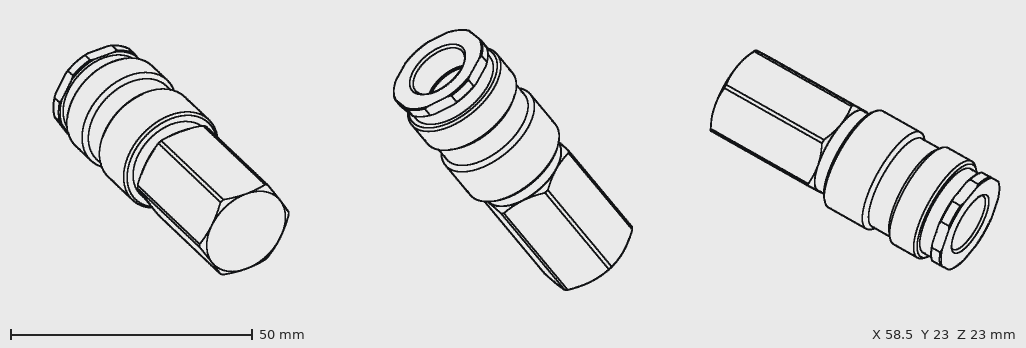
import cadquery as cq
import math

total_length = 58.5

collar_length = 2.5
collar_flats = 21.0
collar_diameter = 22.0
collar_edge = 0.25

front_neck_diameter = 20.0
sleeve_diameter = 23.0
sleeve_start = 5.85
sleeve_end = 29.3
sleeve_chamfer = 0.5
groove_diameter = 21.0
groove_start = 12.4
groove_end = 19.25
groove_slope = 0.9

rear_neck_diameter = 19.0
wrench_start = 32.5
wrench_flats = 19.2
wrench_diameter = 21.7
wrench_cone_angle = 30.0

mouth_diameter = 13.75
socket_diameter = 12.7
mouth_chamfer = (mouth_diameter - socket_diameter) / 2
step_diameter = 12.0
step_depth = 6.1
step_chamfer = 0.25
socket_depth = 17.55


def revolve_profile(profile):
    """Revolve (x, radius) points, listed from end to end, about the X axis."""
    start_x = profile[0][0]
    end_x = profile[-1][0]
    outline = [(start_x, 0)] + profile + [(end_x, 0)]
    return cq.Workplane("XY").polyline(outline).close().revolve(360, (0, 0, 0), (1, 0, 0))


def hex_bar(start, end, flats):
    """Hexagonal bar along X with flats facing up and down (corners on +Y and -Y)."""
    corner_diameter = flats / math.cos(math.radians(30))
    return cq.Workplane("YZ").workplane(offset=start).polygon(6, corner_diameter).extrude(end - start)


def turned_hex(start, end, flats, diameter, edge_length, edge_height):
    """Hexagonal bar whose corners are turned to a diameter and beveled at both ends."""
    radius = diameter / 2
    envelope = revolve_profile([
        (start, radius - edge_height),
        (start + edge_length, radius),
        (end - edge_length, radius),
        (end, radius - edge_height),
    ])
    return hex_bar(start, end, flats).intersect(envelope)


def make_collar():
    return turned_hex(0, collar_length, collar_flats, collar_diameter, collar_edge, collar_edge)


def make_sleeve():
    radius = sleeve_diameter / 2
    groove_radius = groove_diameter / 2
    neck_radius = front_neck_diameter / 2
    rear_radius = rear_neck_diameter / 2
    return revolve_profile([
        (collar_length, neck_radius),
        (sleeve_start, neck_radius),
        (sleeve_start, radius - sleeve_chamfer),
        (sleeve_start + sleeve_chamfer, radius),
        (groove_start, radius),
        (groove_start + groove_slope, groove_radius),
        (groove_end - groove_slope, groove_radius),
        (groove_end, radius),
        (sleeve_end - sleeve_chamfer, radius),
        (sleeve_end, radius - sleeve_chamfer),
        (sleeve_end, rear_radius),
        (wrench_start, rear_radius),
    ])


def make_wrench_body():
    bevel_height = (wrench_diameter - wrench_flats) / 2
    bevel_length = bevel_height * math.tan(math.radians(wrench_cone_angle))
    return turned_hex(wrench_start, total_length, wrench_flats, wrench_diameter, bevel_length, bevel_height)


def make_socket():
    socket_radius = socket_diameter / 2
    step_radius = step_diameter / 2
    return revolve_profile([
        (0, mouth_diameter / 2),
        (mouth_chamfer, socket_radius),
        (step_depth, socket_radius),
        (step_depth, step_radius + step_chamfer),
        (step_depth + step_chamfer, step_radius),
        (socket_depth, step_radius),
    ])


result = make_collar().union(make_sleeve()).union(make_wrench_body()).cut(make_socket())